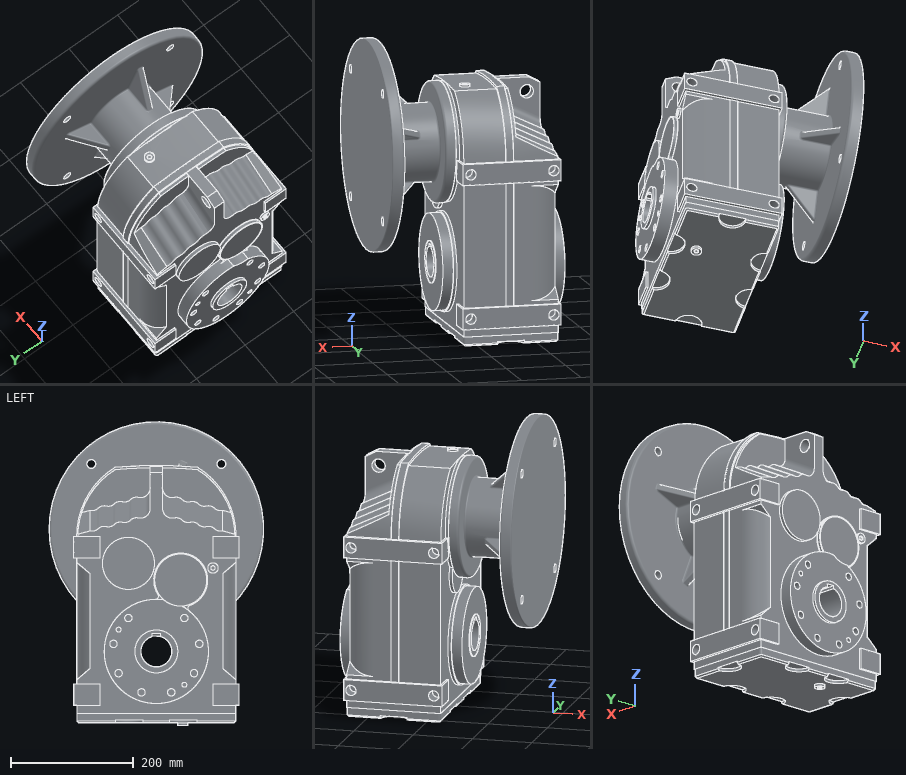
import cadquery as cq
import math


pick_margin = 0.5

housing_length = 158.5
wall_half_width = 129.5
arch_half_width = 128.0
body_bottom = -101.0
arch_center_z = 187.5
crown_half_width = 67.0
crown_top = 299.3
crown_sag = 3.0

band_front = 75.0
band_width = 13.0
band_half_width = 130.0
band_top_offset = 4.0

rail_height = 35.0
rail_upper_bottom = 152.0
rail_lower_bottom = -88.0
rail_overhang = 3.5
rail_inner_y = 92.0
rail_outer_y = 135.0
rail_hole_diameter = 17.0
rail_hole_depth = 25.0
rail_hole_xs = (8.7, 148.2)

scoop_length = 44.0
scoop_depth = 21.0
scoop_end_slant = 18.0
scoop_top = 145.0
scoop_bottom = -46.0

shoulder_length = 69.0
shoulder_angle = 25.9
shoulder_front_z = 217.5
wave_start_y = 29.0
wave_count = 3
wave_pitch = 26.3
wave_drop = 7.0
wave_arc_sag = 1.8
outer_slope = 0.27
lug_thickness = 20.0
lug_top = 301.5
lug_root_width = 12.0
lug_root_height = 16.0
lug_chamfer_length = 19.0
lug_chamfer_height = 10.0
lug_hole_diameter = 22.0
lug_hole_x = 22.5
lug_hole_z = 277.5

output_axis = (0.0, 0.0)
input_axis = (0.0, 199.5)
upper_axis = (45.5, 143.5)
middle_axis = (-39.7, 116.4)

front_flange_diameter = 170.0
front_flange_face = -22.8
front_hole_diameter = 12.0
front_hole_circle = 142.0
front_hole_pitch = 40.0
front_hole_depth = 20.0
pin_hole_diameter = 8.0
pin_hole_depth = 12.0
pin_hole_angles = (60.0, -140.0)

cap_diameter = 85.0
cap_thickness = 6.7
middle_boss_diameter = 88.0
middle_boss_root_radius = 5.0

rear_boss_height = 5.5
rear_face = housing_length + rear_boss_height
rear_output_boss_diameter = 165.0
rear_middle_boss_diameter = 70.0
rear_input_boss_diameter = 198.0
rear_cover_diameter = 160.0
rear_cover_thickness = 17.5

shaft_diameter = 70.0
shaft_bore = 50.0
shaft_front = -28.0
shaft_rear = 182.8
key_width = 14.0
key_top = 29.0

adapter_disc_diameter = 200.0
adapter_disc_thickness = 17.5
adapter_disc_fillet = 4.5
adapter_tube_diameter = 130.0
adapter_root_fillet = 3.0
motor_flange_diameter = 350.0
motor_flange_front = 268.5
motor_flange_rear = 289.5
motor_flange_front_fillet = 5.0
motor_flange_rear_fillet = 2.0
motor_hole_diameter = 14.0
motor_hole_circle = 300.0
motor_hole_count = 4
motor_hole_start = 45.0
rib_count = 4
rib_tilt = 22.5
rib_thickness = 12.0
rib_outer_radius = 118.5
rib_edge_fillet = 2.5
rib_root_fillet = 3.5
rib_root_overlap = 10.0

cover_bottom = -116.5
cover_corner_radius = 4.0
cover_edge_chamfer = 3.0
notch_diameter = 45.0
notch_depth = 5.0
notch_y = 44.0

plug_diameter = 17.0
plug_head_height = 3.5
plug_socket_size = 8.0
plug_socket_depth = 2.0
plug_seat_depth = 10.0
front_plug_y = -92.3
front_plug_z = 136.0
top_plug_x = 134.5
top_plug_y = 40.0
top_plug_top = 301.5
bottom_plug_x = 43.0
bottom_plug_y = -43.0
bottom_plug_bottom = -121.0


def cylinder_x(axis, diameter, x_start, x_end):
    """Cylinder along X on a shaft line given as (Y, Z)."""
    return (
        cq.Workplane("YZ", origin=(x_start, 0, 0))
        .center(*axis)
        .circle(diameter / 2)
        .extrude(x_end - x_start)
    )


def box_between(x_range, y_range, z_range):
    """Box from its lower and upper limits along each axis."""
    sizes = [upper - lower for lower, upper in (x_range, y_range, z_range)]
    return cq.Workplane("XY").box(*sizes, centered=False).translate((x_range[0], y_range[0], z_range[0]))


def polar(radius, angle_from_top):
    """(Y, Z) offset at an angle measured from +Z towards +Y."""
    angle = math.radians(angle_from_top)
    return (radius * math.sin(angle), radius * math.cos(angle))


def arch_outline(x_start, length, half_width, top, bottom):
    """Arched wall: straight sides, round shoulders and a slightly curved crown."""
    crown_edge = crown_half_width
    crown_edge_z = top - crown_sag
    rise = crown_edge_z - arch_center_z
    run = half_width - crown_edge
    radius = (run**2 + rise**2) / (2 * run)
    half_sweep = math.asin(rise / radius) / 2
    mid_y = half_width - radius + radius * math.cos(half_sweep)
    mid_z = arch_center_z + radius * math.sin(half_sweep)
    return (
        cq.Workplane("YZ", origin=(x_start, 0, 0))
        .moveTo(-half_width, bottom)
        .lineTo(half_width, bottom)
        .lineTo(half_width, arch_center_z)
        .threePointArc((mid_y, mid_z), (crown_edge, crown_edge_z))
        .threePointArc((0, top), (-crown_edge, crown_edge_z))
        .threePointArc((-mid_y, mid_z), (-half_width, arch_center_z))
        .close()
        .extrude(length)
    )


def shoulder_pocket():
    """Space above one side of the wavy shoulder (+Y side), swept along the slope."""
    lug_side = lug_thickness / 2
    clear_y = rail_outer_y
    clear_z = lug_top
    profile = (
        cq.Workplane("YZ")
        .moveTo(lug_side, clear_z)
        .lineTo(lug_side, shoulder_front_z + lug_root_height)
        .tangentArcPoint((lug_side + lug_root_width, shoulder_front_z), relative=False)
        .lineTo(wave_start_y, shoulder_front_z)
    )
    for wave in range(wave_count):
        y = wave_start_y + wave * wave_pitch
        z = shoulder_front_z - wave * wave_drop
        middle = (y + wave_pitch / 2, z - wave_drop / 2)
        end = (y + wave_pitch, z - wave_drop)
        profile = profile.sagittaArc(middle, wave_arc_sag).sagittaArc(end, -wave_arc_sag)
    last_y = wave_start_y + wave_count * wave_pitch
    last_z = shoulder_front_z - wave_count * wave_drop
    profile = (
        profile.lineTo(clear_y, last_z - (clear_y - last_y) * outer_slope)
        .lineTo(clear_y, clear_z)
        .close()
    )
    rise = shoulder_length * math.tan(math.radians(shoulder_angle))
    sweep = cq.Vector(shoulder_length, 0, rise)
    return cq.Workplane(cq.Solid.extrudeLinear(profile.val(), [], sweep))


def lifting_lug():
    """Upright plate with a chamfered front corner and an eye."""
    plate = (
        cq.Workplane("XZ", origin=(0, lug_thickness / 2, 0))
        .moveTo(0, arch_center_z)
        .lineTo(band_front, arch_center_z)
        .lineTo(band_front, lug_top)
        .lineTo(lug_chamfer_length, lug_top)
        .lineTo(0, lug_top - lug_chamfer_height)
        .close()
        .extrude(lug_thickness)
    )
    eye = (
        cq.Workplane("XZ", origin=(lug_hole_x, lug_thickness / 2, lug_hole_z))
        .circle(lug_hole_diameter / 2)
        .extrude(lug_thickness)
    )
    return plate.cut(eye)


def rail(side, bottom):
    """Mounting rail along X with two blind holes in its outer face."""
    bar = box_between(
        (-rail_overhang, housing_length + rail_overhang),
        (rail_inner_y, rail_outer_y),
        (bottom, bottom + rail_height),
    )
    holes = (
        cq.Workplane("XZ", origin=(0, rail_outer_y, bottom + rail_height / 2))
        .pushPoints([(x, 0) for x in rail_hole_xs])
        .circle(rail_hole_diameter / 2)
        .extrude(rail_hole_depth)
    )
    bar = bar.cut(holes)
    return bar if side > 0 else bar.mirror("XZ")


def corner_scoop():
    """Material removed to round the front corner on the +Y side, with slanted ends."""
    radius = (scoop_length**2 + scoop_depth**2) / (2 * scoop_depth)
    half_sweep = math.asin(scoop_length / radius) / 2
    side = wall_half_width
    middle = (scoop_length - radius * math.sin(half_sweep), side - radius * (1 - math.cos(half_sweep)))
    height = scoop_top - scoop_bottom
    rounding = (
        cq.Workplane("XY", origin=(0, 0, scoop_bottom))
        .moveTo(scoop_length, side)
        .threePointArc(middle, (0, side - scoop_depth))
        .lineTo(0, side)
        .close()
        .extrude(height)
    )
    slanted_ends = (
        cq.Workplane("YZ")
        .moveTo(side, scoop_bottom)
        .lineTo(side, scoop_top)
        .lineTo(side - scoop_depth, scoop_top - scoop_end_slant)
        .lineTo(side - scoop_depth, scoop_bottom + scoop_end_slant)
        .close()
        .extrude(scoop_length)
    )
    return rounding.intersect(slanted_ends)


def front_bosses():
    """Output flange and the middle-shaft boss that blends into it."""
    flange = cylinder_x(output_axis, front_flange_diameter, -cap_thickness, 0)
    boss = cylinder_x(middle_axis, middle_boss_diameter, -cap_thickness, 0)
    base = flange.union(boss)
    corners = cq.selectors.BoxSelector(
        (-cap_thickness, -front_flange_diameter, output_axis[1] + pick_margin),
        (0, front_flange_diameter, middle_axis[1] - pick_margin),
    )
    base = base.edges("|X").edges(corners).fillet(middle_boss_root_radius)
    nose = cylinder_x(output_axis, front_flange_diameter, front_flange_face, -cap_thickness)
    return base.union(nose)


def front_flange_holes():
    """Threaded-hole circle with the top position left out, plus two pin holes."""
    positions = round(360 / front_hole_pitch)
    radius = front_hole_circle / 2
    face = cq.Workplane("YZ", origin=(front_flange_face, 0, 0))
    screws = [polar(radius, index * front_hole_pitch) for index in range(1, positions)]
    pins = [polar(radius, angle) for angle in pin_hole_angles]
    screw_holes = face.pushPoints(screws).circle(front_hole_diameter / 2).extrude(front_hole_depth)
    pin_holes = face.pushPoints(pins).circle(pin_hole_diameter / 2).extrude(pin_hole_depth)
    return screw_holes.union(pin_holes)


def make_plug(origin, direction, head_height):
    """Screw plug with a hexagon socket; the origin is the centre of its outer face."""
    plane = cq.Plane(origin=origin, normal=direction)
    body_length = head_height + plug_seat_depth
    body = cq.Workplane(plane).circle(plug_diameter / 2).extrude(-body_length)
    socket = cq.Workplane(plane).polygon(6, plug_socket_size).extrude(-plug_socket_depth)
    return body.cut(socket)


def make_housing():
    """Gear housing with its rails, bosses, output flange and lifting lug."""
    wall = box_between(
        (0, housing_length),
        (-wall_half_width, wall_half_width),
        (body_bottom, rail_upper_bottom + rail_height / 2),
    )
    arch = arch_outline(0, housing_length, arch_half_width, crown_top, rail_upper_bottom)
    lug_place = box_between(
        (0, shoulder_length), (-lug_thickness / 2, lug_thickness / 2), (arch_center_z, lug_top)
    )
    body = wall.union(arch).cut(lug_place).union(lifting_lug())
    pocket = shoulder_pocket()
    body = body.cut(pocket).cut(pocket.mirror("XZ"))
    scoop = corner_scoop()
    body = body.cut(scoop).cut(scoop.mirror("XZ"))
    body = body.union(
        arch_outline(band_front, band_width, band_half_width, crown_top + band_top_offset, rail_lower_bottom)
    )
    for side in (1, -1):
        for bottom in (rail_lower_bottom, rail_upper_bottom):
            x_range = (0, housing_length)
            seat = box_between(x_range, (rail_inner_y, rail_outer_y), (bottom, bottom + rail_height))
            body = body.cut(seat if side > 0 else seat.mirror("XZ"))
            body = body.union(rail(side, bottom))
    body = body.union(front_bosses())
    body = body.union(cylinder_x(output_axis, rear_output_boss_diameter, housing_length, rear_face))
    body = body.union(cylinder_x(middle_axis, rear_middle_boss_diameter, housing_length, rear_face))
    body = body.union(cylinder_x(input_axis, rear_input_boss_diameter, housing_length, rear_face))
    body = body.cut(cylinder_x(middle_axis, cap_diameter, front_flange_face, 0))
    body = body.cut(front_flange_holes())
    return body.cut(cylinder_x(output_axis, shaft_diameter, shaft_front, shaft_rear))


def make_bearing_cap(axis):
    """Flat round cap standing on the housing front."""
    return cylinder_x(axis, cap_diameter, -cap_thickness, 0)


def make_output_shaft():
    """Hollow output shaft with a keyway at the top of its bore."""
    sleeve = cylinder_x(output_axis, shaft_diameter, shaft_front, shaft_rear)
    bore = cylinder_x(output_axis, shaft_bore, shaft_front, shaft_rear)
    keyway = box_between((shaft_front, shaft_rear), (-key_width / 2, key_width / 2), (0, key_top))
    return sleeve.cut(bore).cut(keyway)


def make_rear_cover():
    """Ring around the output shaft on the rear boss."""
    ring = cylinder_x(output_axis, rear_cover_diameter, rear_face, rear_face + rear_cover_thickness)
    return ring.cut(cylinder_x(output_axis, shaft_diameter, rear_face, shaft_rear))


def adapter_rib(tilt):
    """Triangular rib between the tube and the motor flange, turned about the input axis."""
    root_radius = adapter_tube_diameter / 2 - rib_root_overlap
    length = rib_outer_radius - root_radius
    flange_middle = (motor_flange_front + motor_flange_rear) / 2
    web = (
        cq.Workplane("XZ", origin=(0, rib_thickness / 2, 0))
        .moveTo(motor_flange_front - length, root_radius)
        .lineTo(flange_middle, root_radius)
        .lineTo(flange_middle, rib_outer_radius + flange_middle - motor_flange_front)
        .close()
        .extrude(rib_thickness)
    )
    web = web.faces("<X").edges("not |Y").fillet(rib_edge_fillet)
    return web.rotate((0, 0, 0), (1, 0, 0), tilt).translate((0, *input_axis))


def is_rib_foot(edge):
    """True for an edge on the tube surface beside a rib, other than the tube's own seam and rims."""
    middle = edge.positionAt(0.5)
    tube_radius = adapter_tube_diameter / 2
    radius = math.hypot(middle.y - input_axis[0], middle.z - input_axis[1])
    off_seam = abs(middle.z - input_axis[1]) > pick_margin
    return abs(radius - tube_radius) < pick_margin and off_seam and edge.geomType() != "CIRCLE"


def make_motor_adapter():
    """Disc, tube and motor flange turned as one piece, with ribs and screw holes."""
    disc_rear = rear_face + adapter_disc_thickness
    disc = cylinder_x(input_axis, adapter_disc_diameter, rear_face, disc_rear)
    disc = disc.faces(">X").edges().fillet(adapter_disc_fillet)
    flange = cylinder_x(input_axis, motor_flange_diameter, motor_flange_front, motor_flange_rear)
    flange = flange.faces("<X").edges().fillet(motor_flange_front_fillet)
    flange = flange.faces(">X").edges().fillet(motor_flange_rear_fillet)
    tube = cylinder_x(input_axis, adapter_tube_diameter, disc_rear, motor_flange_rear)
    for index in range(rib_count):
        tube = tube.union(adapter_rib(rib_tilt + index * 360 / rib_count))
    foot_edges = [edge for edge in tube.edges().vals() if is_rib_foot(edge)]
    tube = tube.newObject(foot_edges).fillet(rib_root_fillet)
    adapter = disc.union(tube).union(flange)
    neck_edge = cq.selectors.BoxSelector(
        (disc_rear - pick_margin, -adapter_tube_diameter, input_axis[1] - adapter_tube_diameter),
        (disc_rear + pick_margin, adapter_tube_diameter, input_axis[1] + adapter_tube_diameter),
    )
    adapter = adapter.edges(neck_edge).edges(cq.selectors.RadiusNthSelector(0)).fillet(adapter_root_fillet)
    flange_reach = rib_outer_radius + rib_thickness
    flange_root = cq.selectors.BoxSelector(
        (motor_flange_front - pick_margin, -flange_reach, input_axis[1] - flange_reach),
        (motor_flange_front + pick_margin, flange_reach, input_axis[1] + flange_reach),
        boundingbox=True,
    )
    adapter = adapter.edges(flange_root).fillet(adapter_root_fillet)
    holes = (
        cq.Workplane("YZ", origin=(motor_flange_front, *input_axis))
        .polarArray(motor_hole_circle / 2, motor_hole_start, 360, motor_hole_count)
        .circle(motor_hole_diameter / 2)
        .extrude(motor_flange_rear - motor_flange_front)
    )
    return adapter.cut(holes)


def make_bottom_cover():
    """Flat cover closing the underside, with rounded corners, a chamfered rim and edge notches."""
    plate = box_between(
        (0, housing_length), (-wall_half_width, wall_half_width), (cover_bottom, body_bottom)
    )
    plate = plate.edges("|Z").fillet(cover_corner_radius)
    plate = plate.faces("<Z").edges().chamfer(cover_edge_chamfer)
    middle_x = housing_length / 2
    notch_places = [(middle_x, side * wall_half_width) for side in (1, -1)]
    notch_places += [(x, side * notch_y) for x in (0, housing_length) for side in (1, -1)]
    notches = (
        cq.Workplane("XY", origin=(0, 0, cover_bottom))
        .pushPoints(notch_places)
        .circle(notch_diameter / 2)
        .extrude(notch_depth)
    )
    return plate.cut(notches)


housing = make_housing()
output_shaft = make_output_shaft()
upper_cap = make_bearing_cap(upper_axis)
middle_cap = make_bearing_cap(middle_axis)
rear_cover = make_rear_cover()
motor_adapter = make_motor_adapter()
bottom_cover = make_bottom_cover()

front_plug = make_plug((-plug_head_height, front_plug_y, front_plug_z), (-1, 0, 0), plug_head_height)
top_plug = make_plug((top_plug_x, top_plug_y, top_plug_top), (0, 0, 1), top_plug_top - crown_top)
bottom_plug = make_plug(
    (bottom_plug_x, bottom_plug_y, bottom_plug_bottom), (0, 0, -1), cover_bottom - bottom_plug_bottom
)
housing = housing.cut(front_plug).cut(top_plug)
bottom_cover = bottom_cover.cut(bottom_plug)

result = cq.Compound.makeCompound([
    housing.val(),
    output_shaft.val(),
    upper_cap.val(),
    middle_cap.val(),
    rear_cover.val(),
    motor_adapter.val(),
    bottom_cover.val(),
    front_plug.val(),
    top_plug.val(),
    bottom_plug.val(),
])